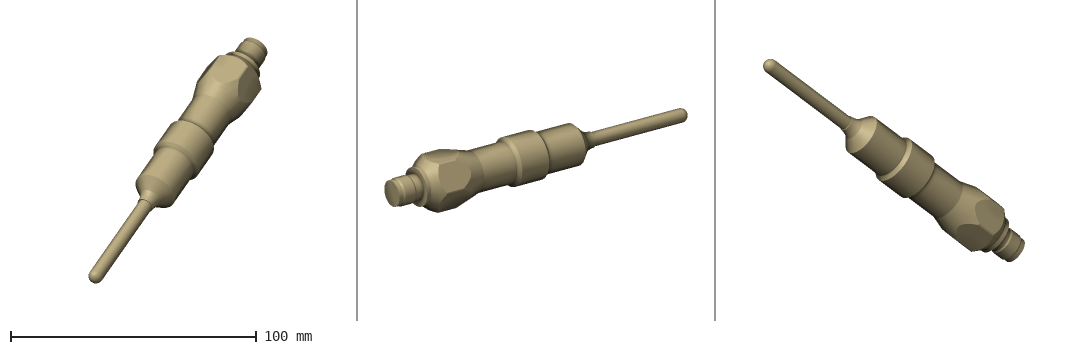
import cadquery as cq
import math

total_length = 143.6

plug_radius = 11.2 / 2
collar_radius = 12.0 / 2
collar_bevel_start = 2.0
collar_start = 2.7
collar_end = 7.6
stem_start = 8.3

grip_across_flats = 22.0
grip_radius = 25.0 / 2
flange_radius = 16.7 / 2
grip_start = 11.8
flange_end = 13.6
grip_full_start = 18.7
grip_full_end = 27.0
grip_end = 39.0

body_radius = 18.0 / 2
band_radius = 21.0 / 2
band_bevel = band_radius - body_radius
band_start = 55.2
band_end = 71.2
body_end = 88.5

nose_cone_length = 4.3
nose_end_radius = body_radius - nose_cone_length
nose_cone_end = body_end + nose_cone_length
neck_end = 97.1
neck_radius = 3.5
blend_length = neck_end - nose_cone_end
blend_rise = nose_end_radius - neck_radius
blend_radius = (blend_length**2 + blend_rise**2) / (2 * blend_rise)
blend_angle = math.asin(blend_length / blend_radius)

pin_radius = 6.0 / 2
tip_start = total_length - pin_radius


def on_profile(radius, station):
    """Point of the turned outline in the XY plane."""
    return (radius, -station)


def arc_middle(center_radius, center_station, arc_radius, angle):
    """Point on an arc, with the angle measured from the radial direction toward the pin."""
    return on_profile(
        center_radius + arc_radius * math.cos(angle),
        center_station + arc_radius * math.sin(angle),
    )


def turned_body():
    blend_middle = arc_middle(
        neck_radius + blend_radius, neck_end, blend_radius, math.pi + blend_angle / 2
    )
    tip_middle = arc_middle(0, tip_start, pin_radius, math.pi / 4)
    outline = (
        cq.Workplane("XY")
        .moveTo(0, 0)
        .lineTo(*on_profile(plug_radius, 0))
        .lineTo(*on_profile(plug_radius, collar_bevel_start))
        .lineTo(*on_profile(collar_radius, collar_start))
        .lineTo(*on_profile(collar_radius, collar_end))
        .lineTo(*on_profile(plug_radius, stem_start))
        .lineTo(*on_profile(plug_radius, grip_start))
        .lineTo(*on_profile(flange_radius, grip_start))
        .lineTo(*on_profile(flange_radius, flange_end))
        .lineTo(*on_profile(grip_radius, grip_full_start))
        .lineTo(*on_profile(grip_radius, grip_full_end))
        .lineTo(*on_profile(body_radius, grip_end))
        .lineTo(*on_profile(body_radius, band_start))
        .lineTo(*on_profile(band_radius, band_start + band_bevel))
        .lineTo(*on_profile(band_radius, band_end - band_bevel))
        .lineTo(*on_profile(body_radius, band_end))
        .lineTo(*on_profile(body_radius, body_end))
        .lineTo(*on_profile(nose_end_radius, nose_cone_end))
        .threePointArc(blend_middle, on_profile(neck_radius, neck_end))
        .lineTo(*on_profile(pin_radius, neck_end))
        .lineTo(*on_profile(pin_radius, tip_start))
        .threePointArc(tip_middle, on_profile(0, total_length))
        .close()
    )
    return outline.revolve(360, (0, 0, 0), (0, 1, 0))


def hexagonal_envelope():
    """Full-length hexagonal bar with two flats facing up and down."""
    across_corners = grip_across_flats / math.cos(math.pi / 6)
    return cq.Workplane("XZ").polygon(6, across_corners).extrude(total_length)


result = turned_body().intersect(hexagonal_envelope())